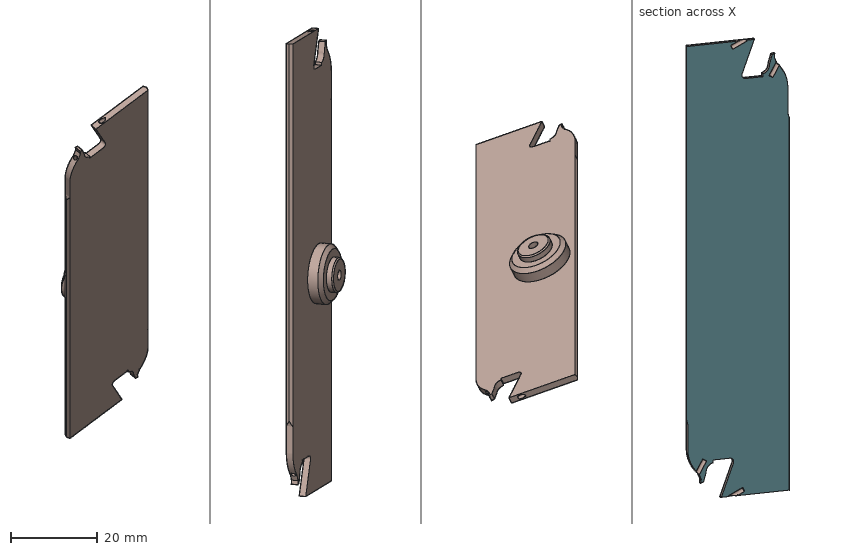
import cadquery as cq
import math

BLADE_LENGTH = 110.0
BLADE_WIDTH = 25.6
BLADE_THICKNESS = 1.6
RIDGE_HEIGHT = 0.3
RIDGE_END_Z = 35.1
RUNOUT_LENGTH = 1.3
half_length = BLADE_LENGTH / 2
half_width = BLADE_WIDTH / 2
base_half_width = half_width - RIDGE_HEIGHT

NOTCH_TOP_Y = -4.2
NOTCH_FLOOR_Z = 45.8
NOTCH_WALL_ANGLE = 20.7
NOTCH_FILLET = 0.9
notch_corner_y = NOTCH_TOP_Y + (half_length - NOTCH_FLOOR_Z) * math.tan(math.radians(NOTCH_WALL_ANGLE))
GULLET_START = (-6.2, NOTCH_FLOOR_Z)
GULLET_STEP = (-6.2, 46.4)
GULLET_MID = (-7.4, 47.2)
GULLET_END = (-7.8, 48.5)
TOOTH_INNER = (-8.5, 50.8)
TOOTH_TIP = (-9.2, 51.0)
TOOTH_HEEL = (-9.1, 50.0)
FLANK_START = (-9.8, 48.6)
FLANK_MID = (-11.5, 46.3)
FLANK_END = (-base_half_width, 42.9)

COOLANT_DIAMETER = 1.0
COOLANT_DEPTH = 3.3
TOP_BORE_START = (-1.5, half_length)
TOP_BORE_ANGLE = 25
FLANK_BORE_START = (-9.9, 48.4)
FLANK_BORE_ANGLE = 60
BORE_OVERRUN = 0.5

PLUG_Y = -4.2
PLUG_Z = -3.5
CAP_DIAMETER = 14.2
CAP_HEIGHT = 3.5
CAP_CHAMFER = 1.0
NIPPLE_DIAMETER = 8.2
NIPPLE_HEIGHT = 1.6
NIPPLE_CHAMFER = 0.3
NIPPLE_BORE_DIAMETER = 2.3


def turned_about_x(shape):
    """Half-turn copy, taking the upper end to the lower end."""
    return shape.rotate((0, 0, 0), (1, 0, 0), 180)


def make_ridged_bar():
    """Full-length bar with a V ridge along both long edges."""
    return (
        cq.Workplane("XY", origin=(0, 0, -half_length))
        .moveTo(0, -base_half_width)
        .lineTo(BLADE_THICKNESS / 2, -half_width)
        .lineTo(BLADE_THICKNESS, -base_half_width)
        .lineTo(BLADE_THICKNESS, base_half_width)
        .lineTo(BLADE_THICKNESS / 2, half_width)
        .lineTo(0, base_half_width)
        .close()
        .extrude(BLADE_LENGTH)
    )


def make_end_cutter():
    """Material removed around the tooth at the upper end of the blade."""
    margin = 1.1
    cutter = (
        cq.Workplane("YZ")
        .moveTo(NOTCH_TOP_Y, half_length)
        .lineTo(notch_corner_y, NOTCH_FLOOR_Z)
        .lineTo(*GULLET_START)
        .lineTo(*GULLET_STEP)
        .threePointArc(GULLET_MID, GULLET_END)
        .lineTo(*TOOTH_INNER)
        .lineTo(*TOOTH_TIP)
        .lineTo(*TOOTH_HEEL)
        .lineTo(*FLANK_START)
        .threePointArc(FLANK_MID, FLANK_END)
        .lineTo(-base_half_width, RIDGE_END_Z + RUNOUT_LENGTH)
        .lineTo(-half_width, RIDGE_END_Z)
        .lineTo(-half_width - margin, RIDGE_END_Z)
        .lineTo(-half_width - margin, half_length + margin)
        .lineTo(NOTCH_TOP_Y, half_length + margin)
        .close()
        .extrude(BLADE_THICKNESS)
    )
    notch_corner = cq.selectors.NearestToPointSelector(
        (BLADE_THICKNESS / 2, notch_corner_y, NOTCH_FLOOR_Z)
    )
    return cutter.edges("|X").edges(notch_corner).fillet(NOTCH_FILLET)


def make_coolant_bore(start, angle):
    """Blind bore in the mid-plane of the blade, running towards +Y and down."""
    y, z = start
    direction = cq.Vector(0, math.cos(math.radians(angle)), -math.sin(math.radians(angle)))
    mouth = cq.Vector(BLADE_THICKNESS / 2, y, z) - direction * BORE_OVERRUN
    return cq.Solid.makeCylinder(COOLANT_DIAMETER / 2, COOLANT_DEPTH + BORE_OVERRUN, mouth, direction)


def make_blade():
    blade = make_ridged_bar()
    cuts = [
        make_end_cutter().val(),
        make_coolant_bore(TOP_BORE_START, TOP_BORE_ANGLE),
        make_coolant_bore(FLANK_BORE_START, FLANK_BORE_ANGLE),
    ]
    for cut in cuts:
        blade = blade.cut(cq.Workplane(cut)).cut(cq.Workplane(turned_about_x(cut)))
    return blade


def make_disc(base_x, diameter, height, chamfer):
    """Disc on the plug axis, rising towards -X with a chamfered outer rim."""
    return (
        cq.Workplane("YZ", origin=(base_x, PLUG_Y, PLUG_Z))
        .circle(diameter / 2)
        .extrude(-height)
        .faces("<X")
        .chamfer(chamfer)
    )


def make_cap():
    return make_disc(0, CAP_DIAMETER, CAP_HEIGHT, CAP_CHAMFER)


def make_nipple():
    nipple = make_disc(-CAP_HEIGHT, NIPPLE_DIAMETER, NIPPLE_HEIGHT, NIPPLE_CHAMFER)
    return nipple.faces("<X").workplane().hole(NIPPLE_BORE_DIAMETER)


blade = make_blade()
cap = make_cap()
nipple = make_nipple()

result = cq.Compound.makeCompound([blade.val(), cap.val(), nipple.val()])